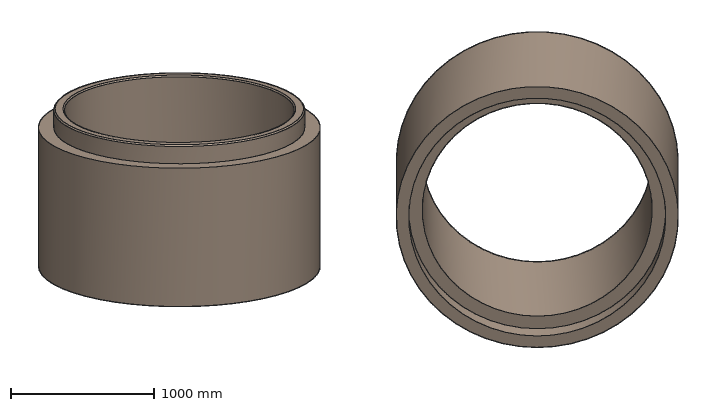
import cadquery as cq

outer_diameter = 1966.0
total_height = 1145.0
bore_diameter = 1602.0

spigot_diameter = 1752.0
spigot_height = 135.0
rim_chamfer = 10.0

socket_clearance = 20.0
socket_diameter = spigot_diameter + 2 * socket_clearance
socket_depth = 134.0


def cylinder(diameter, height):
    """Upright cylinder standing on the base plane."""
    return cq.Workplane("XY").circle(diameter / 2).extrude(height)


barrel = cylinder(outer_diameter, total_height - spigot_height)
ring = barrel.union(cylinder(spigot_diameter, total_height))

ring = ring.cut(cylinder(bore_diameter, total_height))
ring = ring.cut(cylinder(socket_diameter, socket_depth))

result = ring.faces(">Z").edges().chamfer(rim_chamfer)